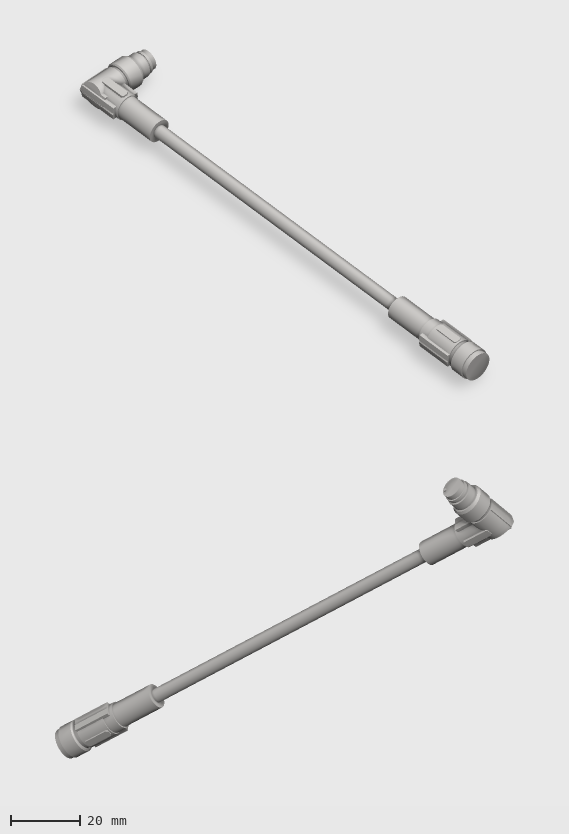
import cadquery as cq


ring_radius = 5.0
total_length = 162.32
rib_reach = ring_radius
total_width = 23.51
arm_tip_y = total_width - rib_reach
x_end = total_length - ring_radius

cable_radius = 2.1
cable_length = 100.0
sleeve_radius = 3.75
sleeve_length = 13.3
collar_radius = 4.15
plug_collar_end = 10.3
plug_sleeve_end = plug_collar_end + sleeve_length
socket_sleeve_start = plug_sleeve_end + cable_length
socket_collar_start = socket_sleeve_start + sleeve_length

socket_collar_length = 3.4
socket_body_length = 9.4
socket_groove_length = 1.2
socket_rib_setback = 1.0
socket_body_start = socket_collar_start + socket_collar_length
socket_body_end = socket_body_start + socket_body_length
socket_ring_start = socket_body_end + socket_groove_length
socket_lip_length = 1.6
socket_lip_radius = 4.6
socket_rib_start = socket_collar_start + socket_rib_setback

body_radius = 4.5
groove_radius = 4.1
roof_rise = 1.75
roof_eave_y = -rib_reach + roof_rise
foot_end_x = 5.2
foot_half_width = 2.9
foot_top_y = -3.0
arm_body_end = 5.3
arm_ring_start = 6.2
arm_ring_end = 11.9
arm_shank_end = 14.9
arm_neck_end = 15.6
arm_flange_end = 16.4
key_stand_out = 0.4
arm_nose_end = arm_tip_y - key_stand_out
shank_radius = 4.0
neck_radius = 3.4
flange_radius = 3.65
nose_radius = 3.25
ring_chamfer = 0.4
arm_ring_taper_length = 0.8
arm_ring_taper_depth = 0.5

key_width = 0.8
key_x = 2.3

rib_half_width = 2.2
rib_shoulder = 0.25
notch_half_width = 0.35
notch_depth = 0.4
plug_rib_start = -3.8
plug_rib_end = 9.4
plug_back_rib_reach = 4.5

pad_height = 4.75
pad_half_width = 1.25
pad_corner = 0.5
socket_pad_margin = 0.55
socket_pad_start = socket_body_start + socket_pad_margin
socket_pad_end = socket_body_end - socket_pad_margin
plug_pad_start = 0.5
plug_pad_end = 9.6


def cylinder_x(start, end, radius):
    """Round bar along X between two stations."""
    return cq.Workplane("YZ", origin=(start, 0, 0)).circle(radius).extrude(end - start)


def cylinder_y(start, end, radius):
    """Round bar along the plug arm, from one Y station to another."""
    return cq.Workplane("XZ", origin=(0, start, 0)).circle(radius).extrude(start - end)


def rib_outline(plane, reach):
    """Closed rib section from the centre line out to its notched outer face."""
    return (
        plane.moveTo(0, -rib_half_width)
        .lineTo(reach - rib_shoulder, -rib_half_width)
        .lineTo(reach, -notch_half_width)
        .lineTo(reach - notch_depth, 0)
        .lineTo(reach, notch_half_width)
        .lineTo(reach - rib_shoulder, rib_half_width)
        .lineTo(0, rib_half_width)
        .close()
    )


def rib_along_x(start, end, side):
    """Grip rib along the cable on the +Y (side = 1) or -Y (side = -1) flank."""
    plane = cq.Workplane("YZ", origin=(start, 0, 0))
    rib = rib_outline(plane, rib_reach).extrude(end - start)
    return rib if side > 0 else rib.mirror("XZ")


def marker_pads(start, end):
    """Flat pads on the +Z and -Z sides, with the corners cut off."""
    return (
        cq.Workplane("XY", origin=((start + end) / 2, 0, 0))
        .rect(end - start, 2 * pad_half_width)
        .extrude(pad_height, both=True)
        .edges("|Z")
        .chamfer(pad_corner)
    )


def make_cable():
    """Cable with a strain-relief sleeve at both ends."""
    cable = cylinder_x(0, socket_body_start, cable_radius)
    plug_sleeve = cylinder_x(0, plug_sleeve_end, sleeve_radius)
    socket_sleeve = cylinder_x(socket_sleeve_start, socket_body_start, sleeve_radius)
    return cable.union(plug_sleeve).union(socket_sleeve)


def make_socket():
    """Straight socket: collar, ribbed body, groove and coupling ring."""
    lip_start = x_end - socket_lip_length
    ring = cylinder_x(socket_ring_start, lip_start, ring_radius).faces("<X").chamfer(ring_chamfer)
    socket = (
        cylinder_x(socket_collar_start, socket_body_start, collar_radius)
        .union(cylinder_x(socket_body_start, socket_body_end, body_radius))
        .union(cylinder_x(socket_body_end, socket_ring_start, groove_radius))
        .union(ring)
        .union(cylinder_x(lip_start, x_end, socket_lip_radius))
        .union(marker_pads(socket_pad_start, socket_pad_end))
    )
    for side in (1, -1):
        socket = socket.union(rib_along_x(socket_rib_start, socket_body_end, side))
    return socket


def roof_prism():
    """Region above the V-shaped bottom of the plug body, which peaks at -Y on the mid plane."""
    return (
        cq.Workplane("YZ", origin=(-ring_radius, 0, 0))
        .moveTo(-rib_reach, 0)
        .lineTo(roof_eave_y, ring_radius)
        .lineTo(arm_body_end, ring_radius)
        .lineTo(arm_body_end, -ring_radius)
        .lineTo(roof_eave_y, -ring_radius)
        .close()
        .extrude(ring_radius + foot_end_x)
    )


def make_plug_body():
    """Elbow of the plug: round body and foot with a roofed bottom, collar, ribs and pads."""
    back_plane = cq.Workplane("XZ", origin=(0, -rib_reach, 0))
    back_rib = rib_outline(back_plane, plug_back_rib_reach).extrude(-rib_reach - arm_body_end)
    round_body = cylinder_y(-rib_reach, arm_body_end, body_radius)
    foot = cq.Workplane("XY").box(
        foot_end_x,
        foot_top_y + rib_reach,
        2 * foot_half_width,
        centered=(False, False, True),
    )
    foot = foot.translate((0, -rib_reach, 0))
    body = round_body.union(back_rib.mirror("YZ")).union(foot)
    body = body.intersect(roof_prism())
    body = body.union(cylinder_x(0, plug_collar_end, collar_radius))
    body = body.union(rib_along_x(0, plug_rib_end, 1))
    body = body.union(rib_along_x(plug_rib_start, plug_rib_end, -1))
    return body.union(marker_pads(plug_pad_start, plug_pad_end))


def make_plug_arm():
    """Stepped arm of the plug with its coupling ring, nose and contact key."""
    ring = cylinder_y(arm_ring_start, arm_ring_end, ring_radius).faces("<Y").chamfer(ring_chamfer)
    ring = ring.faces(">Y").chamfer(arm_ring_taper_length, arm_ring_taper_depth)
    key = (
        cq.Workplane("XZ", origin=(key_x, arm_nose_end, 0))
        .rect(key_width, key_width)
        .extrude(arm_nose_end - arm_tip_y)
    )
    return (
        cylinder_y(0, arm_ring_start, groove_radius)
        .union(ring)
        .union(cylinder_y(arm_ring_end, arm_shank_end, shank_radius))
        .union(cylinder_y(arm_shank_end, arm_neck_end, neck_radius))
        .union(cylinder_y(arm_neck_end, arm_flange_end, flange_radius))
        .union(cylinder_y(arm_flange_end, arm_nose_end, nose_radius))
        .union(key)
    )


result = make_cable().union(make_socket()).union(make_plug_body()).union(make_plug_arm())